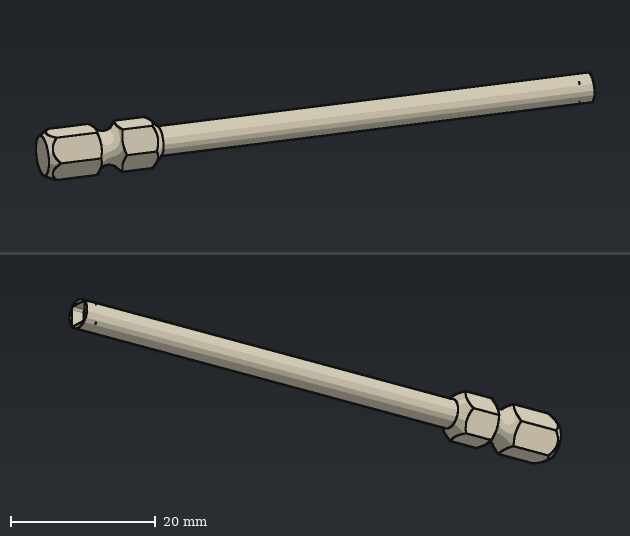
import cadquery as cq
import math

total_length = 80.0
across_flats = 6.3
shaft_radius = 2.1

shank_length = 17.0
end_face_radius = 2.8
end_chamfer_angle = 30.0
shoulder_angle = 45.0

groove_center = 9.25
groove_width = 3.7
groove_root_radius = 2.4

socket_width = 3.0
socket_depth = 2.0
socket_corner_fillet = 0.4

corner_radius = across_flats / 2 / math.cos(math.radians(30))
end_chamfer_length = (corner_radius - end_face_radius) / math.tan(math.radians(end_chamfer_angle))
shoulder_length = (corner_radius - shaft_radius) / math.tan(math.radians(shoulder_angle))
end_y = -total_length / 2


def hexagon_bar():
    """Full hexagon over the shank length, with corners pointing along +X and -X."""
    return (
        cq.Workplane("XZ", origin=(0, end_y, 0))
        .polygon(6, 2 * corner_radius)
        .extrude(-shank_length)
    )


def turned_envelope():
    """Revolved outline that cuts the end chamfer, groove and shoulder into the hexagon."""
    return (
        cq.Workplane("XY", origin=(0, end_y, 0))
        .moveTo(0, 0)
        .lineTo(end_face_radius, 0)
        .lineTo(corner_radius, end_chamfer_length)
        .lineTo(corner_radius, groove_center - groove_width / 2)
        .threePointArc(
            (groove_root_radius, groove_center),
            (corner_radius, groove_center + groove_width / 2),
        )
        .lineTo(corner_radius, shank_length - shoulder_length)
        .lineTo(shaft_radius, shank_length)
        .lineTo(0, shank_length)
        .close()
        .revolve(360, (0, 0, 0), (0, 1, 0))
    )


def shaft():
    """Round shaft from the shoulder to the +Y end."""
    return (
        cq.Workplane("XZ", origin=(0, end_y + shank_length, 0))
        .circle(shaft_radius)
        .extrude(-(total_length - shank_length))
    )


def socket():
    """Blind square socket with rounded corners, sunk into the +Y end of the shaft."""
    return (
        cq.Workplane("XZ", origin=(0, end_y + total_length, 0))
        .rect(socket_width, socket_width)
        .extrude(socket_depth)
        .edges("|Y")
        .fillet(socket_corner_fillet)
    )


shank = hexagon_bar().intersect(turned_envelope())
result = shank.union(shaft()).cut(socket())